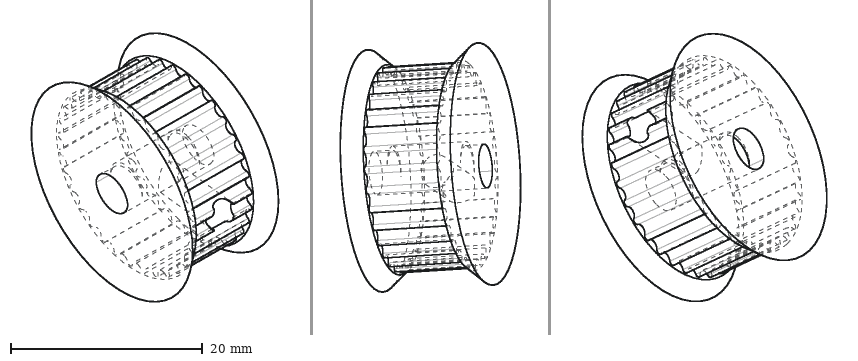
import cadquery as cq
import math

FLANGE_RADIUS = 12.68
FLANGE_INNER_RADIUS = 11.0
FLANGE_THICKNESS = 2.0
BELT_WIDTH = 8.0
TOTAL_WIDTH = BELT_WIDTH + 2 * FLANGE_THICKNESS

TOOTH_COUNT = 31
TOOTH_PITCH = 2 * math.pi / TOOTH_COUNT
TIP_RADIUS = 10.78
FLOOR_RADIUS = 9.95
TIP_ROUNDING = 0.38

BORE_RADIUS = 5.0 / 2
FLANGE_BORE_SHIFT = 0.43
SET_SCREW_RADIUS = 3.5 / 2

OVERCUT = 0.25


def cylinder(radius, length, center_z=0.0):
    """Cylinder along Y, centred on the XZ plane."""
    return cq.Workplane("XZ").center(0, center_z).circle(radius).extrude(length / 2, both=True)


def polar(radius, angle):
    return radius * math.cos(angle), radius * math.sin(angle)


def toothed_body():
    """Rounded tooth tips joined by tangent groove arcs, with a groove centred on +X."""
    tip_center_x, tip_center_z = polar(TIP_RADIUS - TIP_ROUNDING, TOOTH_PITCH / 2)

    rise = tip_center_x - FLOOR_RADIUS
    groove_rounding = (rise**2 + tip_center_z**2 - TIP_ROUNDING**2) / (2 * (TIP_ROUNDING + rise))
    groove_center_x = FLOOR_RADIUS + groove_rounding

    share = groove_rounding / (groove_rounding + TIP_ROUNDING)
    joint_x = groove_center_x + share * (tip_center_x - groove_center_x)
    joint_z = share * tip_center_z
    joint_radius = math.hypot(joint_x, joint_z)
    joint_angle = math.atan2(joint_z, joint_x)

    outline = cq.Workplane("XZ").moveTo(*polar(joint_radius, -joint_angle))
    for index in range(TOOTH_COUNT):
        groove_angle = index * TOOTH_PITCH
        tip_angle = groove_angle + TOOTH_PITCH / 2
        next_groove_angle = groove_angle + TOOTH_PITCH
        outline = outline.threePointArc(
            polar(FLOOR_RADIUS, groove_angle), polar(joint_radius, groove_angle + joint_angle)
        ).threePointArc(
            polar(TIP_RADIUS, tip_angle), polar(joint_radius, next_groove_angle - joint_angle)
        )
    body = outline.close().extrude(BELT_WIDTH / 2, both=True)
    return body.cut(cylinder(BORE_RADIUS, TOTAL_WIDTH))


def front_flange():
    """Cone widening outwards, on the -Y side. Its opening is the overlap of two shifted circles."""
    inner_y = -BELT_WIDTH / 2
    outer_y = -TOTAL_WIDTH / 2
    cone = (
        cq.Workplane("XY")
        .polyline([(0, inner_y), (FLANGE_INNER_RADIUS, inner_y), (FLANGE_RADIUS, outer_y), (0, outer_y)])
        .close()
        .revolve(360, (0, 0, 0), (0, 1, 0))
    )
    cutter_length = TOTAL_WIDTH + 2 * OVERCUT
    centered_bore = cylinder(BORE_RADIUS, cutter_length)
    lowered_bore = cylinder(BORE_RADIUS, cutter_length, -FLANGE_BORE_SHIFT)
    return cone.cut(centered_bore.intersect(lowered_bore))


def set_screw_hole():
    """Radial hole from the bore out through the teeth on the +X side."""
    return cq.Workplane("YZ").circle(SET_SCREW_RADIUS).extrude(TIP_RADIUS + OVERCUT)


flange = front_flange()
body = toothed_body().cut(set_screw_hole())
result = body.union(flange).union(flange.mirror("XZ"))